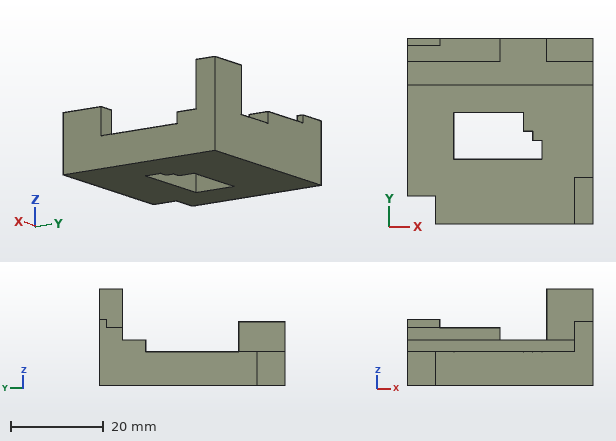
import cadquery as cq

side = 40.0
base_height = 7.3
corner_notch = 6.0

low_step_depth = 10.0
low_step_top = 9.9
middle_step_length = side / 2
middle_step_depth = low_step_depth / 2
middle_step_top = 12.5
high_step_length = 7.0
high_step_depth = 1.5
high_step_top = 14.3

back_post_width = 10.0
back_post_depth = middle_step_depth
back_post_top = 20.85
front_post_width = 4.0
front_post_depth = 10.0
front_post_top = 13.8

window_left = 10.0
window_front = 14.0
window_back = 24.0
window_right = 29.0
stair_tread = 2.0
stair_low = 18.0
stair_high = stair_low + stair_tread


def block(x_start, y_start, width, depth, height):
    """Upright block standing on the bottom plane."""
    return cq.Workplane("XY").box(width, depth, height, centered=False).translate((x_start, y_start, 0))


def back_step(length, depth, height):
    """Step running from the left side along the back edge."""
    return block(0, side - depth, length, depth, height)


body = block(0, 0, side, side, base_height)
body = body.cut(block(0, 0, corner_notch, corner_notch, base_height))

body = body.union(back_step(side, low_step_depth, low_step_top))
body = body.union(back_step(middle_step_length, middle_step_depth, middle_step_top))
body = body.union(back_step(high_step_length, high_step_depth, high_step_top))

body = body.union(
    block(side - back_post_width, side - back_post_depth, back_post_width, back_post_depth, back_post_top)
)
body = body.union(block(side - front_post_width, 0, front_post_width, front_post_depth, front_post_top))

window = (
    cq.Workplane("XY")
    .moveTo(window_left, window_front)
    .lineTo(window_right, window_front)
    .lineTo(window_right, stair_low)
    .lineTo(window_right - stair_tread, stair_low)
    .lineTo(window_right - stair_tread, stair_high)
    .lineTo(window_right - 2 * stair_tread, stair_high)
    .lineTo(window_right - 2 * stair_tread, window_back)
    .lineTo(window_left, window_back)
    .close()
    .extrude(base_height)
)

result = body.cut(window)